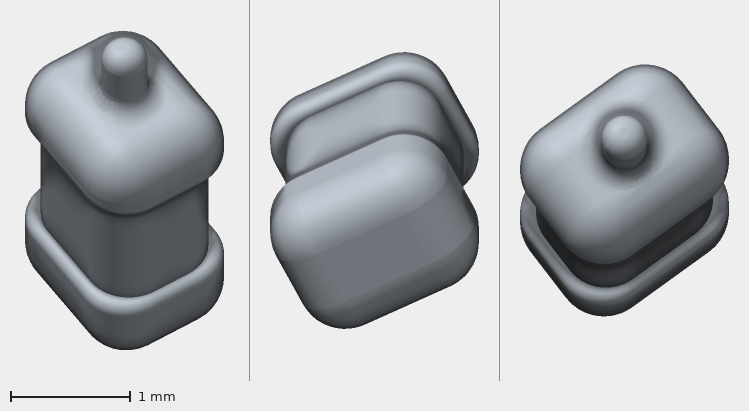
import cadquery as cq

cap_length = 1.6
cap_width = 1.3
cap_height = 0.6
base_height = 0.8
body_height = 1.2
pin_height = 0.6

cap_round = 0.4
lip_round = 0.1
body_round = 0.38

pin_diameter = 0.38
pin_tip_round = 0.15
pin_root_round = 0.15

body_length = cap_length - 2 * lip_round
body_width = cap_width - 2 * lip_round

body_bottom = base_height
body_top = body_bottom + body_height
cap_top = body_top + cap_height


def block(length, width, bottom, top):
    """Rectangular block centred on the Z axis between two levels."""
    return (
        cq.Workplane("XY")
        .workplane(offset=bottom)
        .rect(length, width)
        .extrude(top - bottom)
    )


def cap(bottom, top, outer_end, lip_end):
    """Cap with ball corners at its outer end and a small round at its lip."""
    blank = block(cap_length, cap_width, bottom, top)
    rounded = blank.edges(f"|Z or {outer_end}").fillet(cap_round)
    return rounded.faces(lip_end).edges().fillet(lip_round)


def body():
    """Middle section, running between the two caps."""
    blank = block(body_length, body_width, body_bottom, body_top)
    return blank.edges("|Z").fillet(body_round)


def pin_on(part):
    """Add the pin to the top of the part, with a round root and tip."""
    pin = (
        cq.Workplane("XY")
        .workplane(offset=cap_top)
        .circle(pin_diameter / 2)
        .extrude(pin_height)
    )
    root_edge = cq.selectors.NearestToPointSelector((0, 0, cap_top))
    with_root = part.union(pin).edges("%CIRCLE").edges(root_edge).fillet(pin_root_round)
    return with_root.faces(">Z").edges().fillet(pin_tip_round)


base_cap = cap(0, body_bottom, "<Z", ">Z")
top_cap = cap(body_top, cap_top, ">Z", "<Z")

result = pin_on(base_cap.union(body()).union(top_cap))